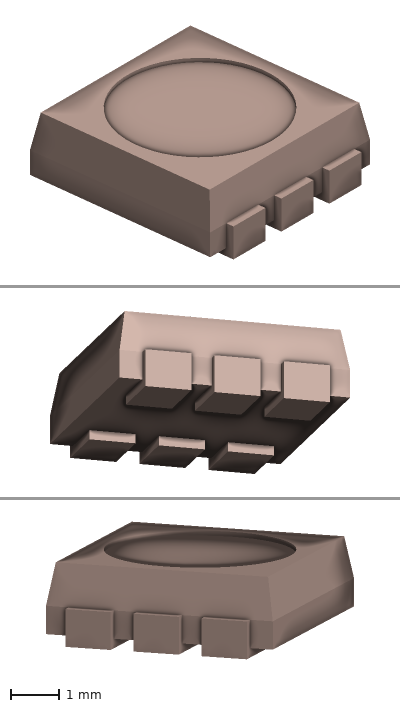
import cadquery as cq
import math

overall_length = 5.4
body_side = 5.0
overall_height = 1.7

lead_thickness = (overall_length - body_side) / 2
lead_height = 0.8
lead_width = 1.0
lead_pitch = 1.5
leads_per_side = 3
foot_length = 1.4

base_bottom = lead_thickness
shoulder_height = lead_height
draft_angle = 10.0
upper_height = overall_height - shoulder_height
top_side = body_side - 2 * upper_height * math.tan(math.radians(draft_angle))

lens_diameter = 4.0
lens_recess = 0.1
cavity_floor = shoulder_height
lens_thickness = overall_height - lens_recess - cavity_floor


def make_housing():
    """Square housing with drafted upper sides and a round cavity in its top."""
    base = (
        cq.Workplane("XY", origin=(0, 0, base_bottom))
        .rect(body_side, body_side)
        .extrude(shoulder_height - base_bottom)
    )
    upper = (
        cq.Workplane("XY", origin=(0, 0, shoulder_height))
        .rect(body_side, body_side)
        .workplane(offset=upper_height)
        .rect(top_side, top_side)
        .loft(ruled=True)
    )
    cavity = (
        cq.Workplane("XY", origin=(0, 0, cavity_floor))
        .circle(lens_diameter / 2)
        .extrude(overall_height - cavity_floor)
    )
    return base.union(upper).cut(cavity)


def make_lens():
    """Disc seated on the cavity floor, its top face below the housing rim."""
    return (
        cq.Workplane("XY", origin=(0, 0, cavity_floor))
        .circle(lens_diameter / 2)
        .extrude(lens_thickness)
    )


def make_lead(side, y_center):
    """L-shaped lead: a wall against the housing side and a foot under it.

    side is -1 for the -X side of the housing and +1 for the +X side.
    """
    outer_x = side * overall_length / 2
    wall_x = side * body_side / 2
    foot_x = side * (overall_length / 2 - foot_length)
    profile = [
        (outer_x, 0),
        (outer_x, lead_height),
        (wall_x, lead_height),
        (wall_x, lead_thickness),
        (foot_x, lead_thickness),
        (foot_x, 0),
    ]
    return (
        cq.Workplane("XZ", origin=(0, y_center, 0))
        .polyline(profile)
        .close()
        .extrude(lead_width / 2, both=True)
    )


housing = make_housing()
lens = make_lens()

leads = []
for side in (-1, 1):
    for index in range(leads_per_side):
        y_center = (index - (leads_per_side - 1) / 2) * lead_pitch
        leads.append(make_lead(side, y_center))

bodies = [housing, lens, *leads]
result = cq.Compound.makeCompound([body.solids().val() for body in bodies])